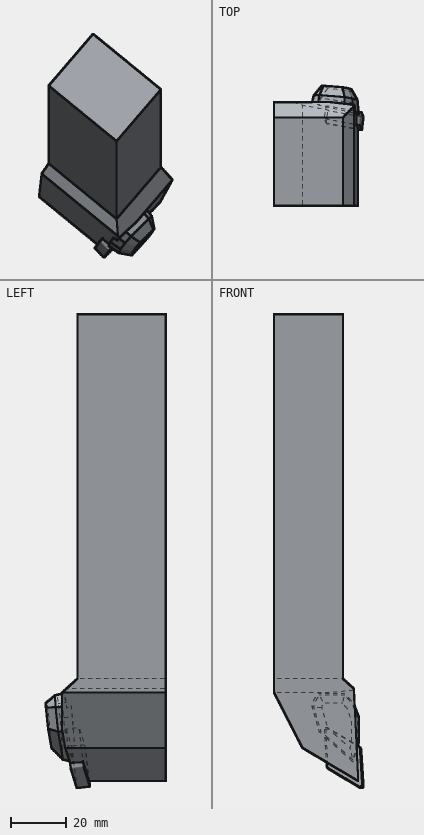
import cadquery as cq
import math

total_height = 171.4
shank_width = 25.0
shank_depth = 32.0

head_back = 37.5
head_top = 34.6
head_right_x = 29.0
head_right_z = 36.0
shoulder_z = 39.5
nose_x = 30.5
nose_z = 2.5
heel_x = 10.3
heel_z = 14.5

rake_angle = 9.3
diagonal_angle = 45
tip_x = 32.5
tip_y = 32.0
tip_z = -0.72

insert_side = 15.3
insert_thickness = 4.8
insert_corner_angle = 55
insert_corner_radius = 0.9
side_edge_angle = 94.0

clamp_angle = 6.5
clamp_tip_y = 33.2
clamp_left = 13.4
clamp_left_top = 29.5
clamp_left_bottom = 20.2
clamp_left_shift = 2.7
clamp_end_x = 16.0
clamp_end_middle_x = 14.4
clamp_end_middle_z = 32.5
clamp_top_right_x = 25.7
clamp_right = 30.8
clamp_right_top = 25.7
clamp_right_bottom = 16.5
clamp_corner_x = 28.8
clamp_upper_corner_z = 31.2
clamp_lower_corner_z = 9.0
clamp_wall_height = 2.7
clamp_root = 1.7
clamp_draft_angle = 10
clamp_bevel_height = 3.8
clamp_bevel_angle = 34


def leaning_plane(tip_height, angle):
    """Plane facing +Y that leans to the tip: local x rises to the upper right, local y runs to the tip."""
    lean = math.radians(angle)
    diagonal = math.sin(lean) / math.sqrt(2)
    normal = (diagonal, math.cos(lean), -diagonal)
    return cq.Plane(origin=(tip_x, tip_height, tip_z), xDir=(1, 0, 1), normal=normal)


def on_clamp(x, z):
    """Local point of the clamp base plane that lies directly behind the place (x, z)."""
    along = (x - tip_x + z - tip_z) / math.sqrt(2)
    down = (x - tip_x - z + tip_z) / math.sqrt(2)
    return along, down / math.cos(math.radians(clamp_angle))


rake_plane = leaning_plane(tip_y, rake_angle)
clamp_plane = leaning_plane(clamp_tip_y, clamp_angle)


def make_bar():
    """Shank and head: the front outline limited by the stepped side outline."""
    front = (
        cq.Workplane("XZ")
        .polyline([
            (0, total_height),
            (shank_width, total_height),
            (shank_width, shoulder_z),
            (head_right_x, head_right_z),
            (nose_x, nose_z),
            (heel_x, heel_z),
            (0, head_top),
        ])
        .close()
        .extrude(-head_back)
    )
    side = (
        cq.Workplane("YZ")
        .polyline([
            (0, 0),
            (head_back, 0),
            (head_back, head_top),
            (shank_depth, shoulder_z),
            (shank_depth, total_height),
            (0, total_height),
        ])
        .close()
        .extrude(nose_x)
    )
    return front.intersect(side)


def make_rake_cutter():
    """Block that removes everything behind the rake plane."""
    return cq.Workplane(rake_plane).rect(total_height, total_height).extrude(total_height / 2)


def make_clamp():
    """Boss with drafted walls below, a sloping bevel above and a rounded upper left end."""
    left_corner = on_clamp(clamp_left, clamp_left_top)
    walls = (
        cq.Workplane(clamp_plane)
        .workplane(offset=-clamp_root)
        .moveTo(*left_corner)
        .lineTo(*on_clamp(clamp_left + clamp_left_shift, clamp_left_bottom))
        .lineTo(*on_clamp(clamp_corner_x, clamp_lower_corner_z))
        .lineTo(*on_clamp(clamp_right, clamp_right_bottom))
        .lineTo(*on_clamp(clamp_right, clamp_right_top))
        .lineTo(*on_clamp(clamp_corner_x, clamp_upper_corner_z))
        .lineTo(*on_clamp(clamp_top_right_x, head_top))
        .lineTo(*on_clamp(clamp_end_x, head_top))
        .threePointArc(on_clamp(clamp_end_middle_x, clamp_end_middle_z), left_corner)
        .close()
        .extrude(clamp_root + clamp_wall_height, taper=clamp_draft_angle)
    )
    away_from_base = cq.selectors.DirectionMinMaxSelector(clamp_plane.zDir, True)
    bevel_base = walls.faces(away_from_base).wires().toPending()
    return bevel_base.extrude(clamp_bevel_height, taper=clamp_bevel_angle)


def make_insert():
    """Rhombic plate below the rake plane, its sharp corner at the tip."""
    side_angle = math.radians(diagonal_angle - side_edge_angle)
    end_angle = side_angle - math.radians(insert_corner_angle)
    side = (insert_side * math.cos(side_angle), insert_side * math.sin(side_angle))
    end = (insert_side * math.cos(end_angle), insert_side * math.sin(end_angle))
    far_corner = (side[0] + end[0], side[1] + end[1])
    plate = cq.Workplane(rake_plane).polyline([(0, 0), side, far_corner, end]).close()
    plate = plate.extrude(-insert_thickness)
    corners = cq.selectors.ParallelDirSelector(rake_plane.zDir)
    return plate.edges(corners).fillet(insert_corner_radius)


insert = make_insert()
holder = make_bar().cut(make_rake_cutter()).union(make_clamp()).cut(insert)

result = cq.Compound.makeCompound([holder.val(), insert.val()])